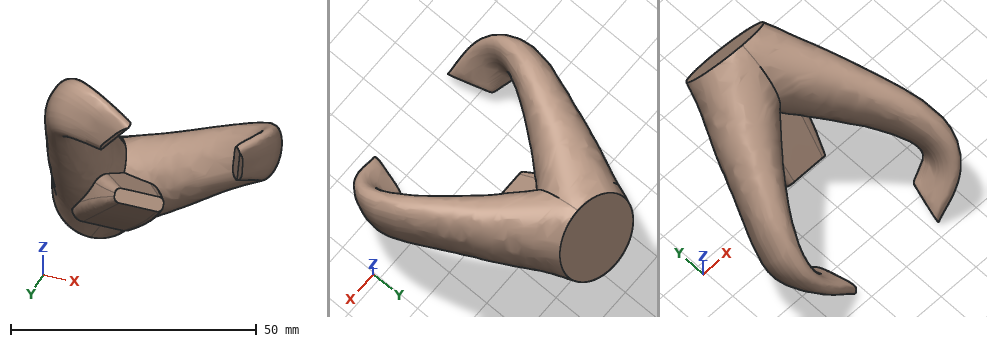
import cadquery as cq
import math

BASE_RADIUS = 9.95
BASE_DIP = math.radians(30)
BASE_NORMAL = (0, -math.cos(BASE_DIP), -math.sin(BASE_DIP))
BASE_UP = (0, -math.sin(BASE_DIP), math.cos(BASE_DIP))

TIP_FLOOR_Z = -22.9

CLAW_ROOM = 54.75

CLAW_SECTIONS = [
    ((0, 0, 0), BASE_NORMAL, BASE_UP, 2 * BASE_RADIUS, 2 * BASE_RADIUS, 2),
    ((-3.25, -7.1, -1.85), (-0.25, -0.9, -0.38), (0, -0.39, 0.92), 18.2, 18.2, 2),
    ((-6.8, -12.25, -3.3), (-0.37, -0.88, -0.3), (0, -0.33, 0.94), 16.95, 15.9, 2),
    ((-13.05, -21.7, -5.75), (-0.41, -0.87, -0.27), (0, -0.3, 0.95), 15.05, 12.05, 2),
    ((-18.65, -31.6, -8.75), (-0.25, -0.9, -0.4), (0, -0.4, 0.9), 13.15, 9.1, 2),
    ((-21.15, -40.75, -13.9), (0.1, -0.7, -0.75), (0, -0.61, 0.79), 11.95, 6.15, 2),
    ((-17.4, -43.95, -18.4), (0.6, -0.25, -0.7), (0.1, -0.94, 0.34), 10.75, 3.95, 2.5),
    ((-13.15, -45.1, -22.05), (0.92, 0.28, -0.39), (0.295, -0.955, 0), 9.65, 3.3, 3),
]

SECTION_POINTS = 24

TONGUE_SECTIONS = [
    (-5.55, -4.9, 13.7, 14.25, 2.75),
    (-17.3, -14.55, 6.95, 13.4, 2.2),
    (-23.4, -19.3, 3.05, 10.55, 1.2),
]


def signed_power(value, exponent):
    """Power of the magnitude, keeping the sign."""
    return math.copysign(abs(value) ** exponent, value)


def claw_section(centre, travel, height_direction, height, width, squareness):
    """Closed superellipse outline lying across the claw."""
    plane = cq.Plane(origin=centre, xDir=height_direction, normal=travel)
    points = []
    for i in range(SECTION_POINTS):
        angle = 2 * math.pi * i / SECTION_POINTS
        along_height = height / 2 * signed_power(math.cos(angle), 2 / squareness)
        along_width = width / 2 * signed_power(math.sin(angle), 2 / squareness)
        points.append((along_height, along_width))
    return cq.Workplane(plane).spline(points, periodic=True).close().val()


def claw():
    """Claw on the -X side, ending at the mid-plane and the flat tip floor."""
    wires = [claw_section(*section) for section in CLAW_SECTIONS]
    body = cq.Workplane(obj=cq.Solid.makeLoft(wires))
    claw_room = cq.Workplane().box(CLAW_ROOM, 2 * CLAW_ROOM, CLAW_ROOM, centered=(False, True, False))
    return body.intersect(claw_room.translate((-CLAW_ROOM, 0, TIP_FLOOR_Z)))


def tongue():
    """Short tapered tongue growing out below the fork."""
    wires = []
    for y, z, height, width, corner_radius in TONGUE_SECTIONS:
        plane = cq.Plane(origin=(0, y, z), xDir=(1, 0, 0), normal=BASE_NORMAL)
        outline = cq.Sketch().rect(width, height).vertices().fillet(corner_radius)
        wires.append(outline.reset().faces().vals()[0].outerWire().moved(plane.location))
    return cq.Workplane(obj=cq.Solid.makeLoft(wires))


left_claw = claw()
right_claw = left_claw.mirror("YZ")
result = left_claw.union(right_claw).union(tongue())